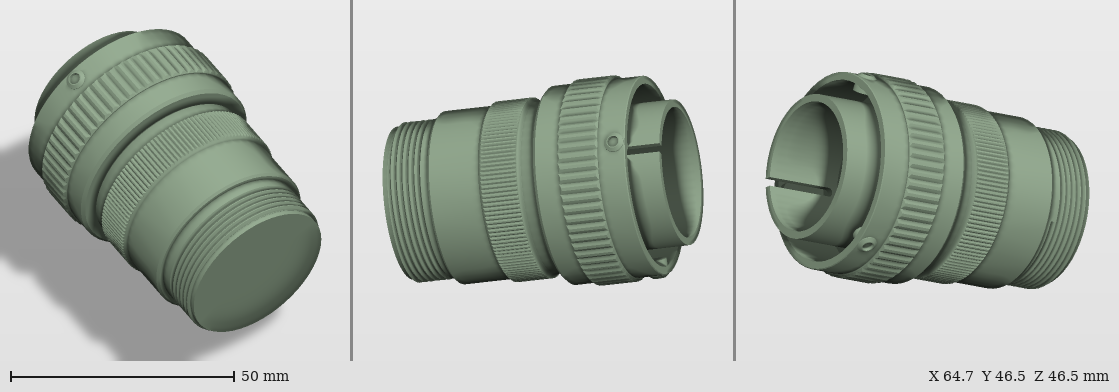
import cadquery as cq
import math

LENGTH = 64.65

NOSE_RADIUS = 16.4
NOSE_BORE_RADIUS = 14.75
NOSE_BORE_DEPTH = 18.1
KEYWAY_WIDTH = 2.0
KEYWAY_LENGTH = 16.8

RING_START = 6.3
RING_END = 28.0
RING_RADIUS = 22.45
RING_FRONT_CHAMFER = 0.2
RING_REAR_CHAMFER = 0.7
RING_BORE_RADIUS = 20.6
RING_BORE_DEPTH = 19.4
COLLAR_RADIUS = 18.2
COLLAR_START = 16.8

COARSE_START = 12.55
COARSE_END = 22.0
COARSE_RADIUS = 23.24
COARSE_TEETH = 60
COARSE_CREST = 0.65
COARSE_DEPTH = 0.5

SCREW_X = 8.8
SCREW_ANGLES = (0, 120, 240)
SCREW_RADIUS = 2.25
SCREW_TIP_RADIUS = 1.5
SCREW_INNER = 18.95
SCREW_SHOULDER = 22.55
SCREW_OUTER = 23.15
SOCKET_RADIUS = 1.3
SOCKET_DEPTH = 1.0

NECK_FRONT_RADIUS = 16.4
NECK_REAR_RADIUS = 17.05
BODY_START = 28.6
BODY_END = 53.6
BODY_RADIUS = 19.5
BODY_FRONT_CHAMFER = 0.5
BODY_REAR_CHAMFER = 0.5

FINE_START = 31.55
FINE_END = 41.6
FINE_RADIUS = 20.35
FINE_FILLET_RADIUS = 1.0
FINE_TEETH = 124
FINE_CREST = 0.3
FINE_DEPTH = 0.3

THREAD_RADIUS = 18.05
THREAD_DEPTH = 0.7
THREAD_START = 55.6
THREAD_END = 63.4
THREAD_PITCH = 1.385
THREAD_START_ANGLE = 26.0
THREAD_CREST = 0.2
THREAD_ROOT = 0.3
TIP_RADIUS = 17.25

CUTTER_MARGIN = 0.3
BOOLEAN_TOLERANCE = 0.001


def fine_fillet_point(angle):
    """Point (x, radius) on the concave fillet that leads up to the fine knurl."""
    x = FINE_START + FINE_FILLET_RADIUS * math.sin(angle)
    radius = BODY_RADIUS + FINE_FILLET_RADIUS * (1 - math.cos(angle))
    return x, radius


def turned_body():
    coarse_step_radius = COARSE_RADIUS - COARSE_DEPTH
    fine_rise = FINE_RADIUS - BODY_RADIUS
    fillet_end_angle = math.acos(1 - fine_rise / FINE_FILLET_RADIUS)
    fillet_middle = fine_fillet_point(fillet_end_angle / 2)
    fillet_end = fine_fillet_point(fillet_end_angle)
    before_fillet = [
        (NOSE_BORE_DEPTH, 0),
        (NOSE_BORE_DEPTH, NOSE_BORE_RADIUS),
        (0, NOSE_BORE_RADIUS),
        (0, NOSE_RADIUS),
        (COLLAR_START, NOSE_RADIUS),
        (COLLAR_START, COLLAR_RADIUS),
        (RING_BORE_DEPTH, COLLAR_RADIUS),
        (RING_BORE_DEPTH, RING_BORE_RADIUS),
        (RING_START, RING_BORE_RADIUS),
        (RING_START, RING_RADIUS - RING_FRONT_CHAMFER),
        (RING_START + RING_FRONT_CHAMFER, RING_RADIUS),
        (COARSE_START, RING_RADIUS),
        (COARSE_START, coarse_step_radius),
        (COARSE_START + COARSE_DEPTH, COARSE_RADIUS),
        (COARSE_END - COARSE_DEPTH, COARSE_RADIUS),
        (COARSE_END, coarse_step_radius),
        (COARSE_END, RING_RADIUS),
        (RING_END - RING_REAR_CHAMFER, RING_RADIUS),
        (RING_END, RING_RADIUS - RING_REAR_CHAMFER),
        (RING_END, NECK_FRONT_RADIUS),
        (BODY_START, NECK_REAR_RADIUS),
        (BODY_START, BODY_RADIUS - BODY_FRONT_CHAMFER),
        (BODY_START + BODY_FRONT_CHAMFER, BODY_RADIUS),
        (FINE_START, BODY_RADIUS),
    ]
    after_fillet = [
        fillet_end,
        (FINE_END - fine_rise, FINE_RADIUS),
        (FINE_END, BODY_RADIUS),
        (BODY_END - BODY_REAR_CHAMFER, BODY_RADIUS),
        (BODY_END, BODY_RADIUS - BODY_REAR_CHAMFER),
        (BODY_END, THREAD_RADIUS),
        (THREAD_END, THREAD_RADIUS),
        (THREAD_END, TIP_RADIUS),
        (LENGTH, TIP_RADIUS),
        (LENGTH, 0),
    ]
    outline = (
        cq.Workplane("XY")
        .polyline(before_fillet)
        .threePointArc(fillet_middle, fillet_end)
        .polyline(after_fillet)
        .close()
    )
    return outline.revolve(360, (0, 0, 0), (1, 0, 0))


def knurl_cutters(start, end, radius, teeth, crest, depth):
    """V grooves along X, spaced evenly so that one crest lies on +Z."""
    pitch_angle = 360 / teeth
    half_width = (2 * math.pi * radius / teeth - crest) / 2
    overshoot = half_width * (depth + CUTTER_MARGIN) / depth
    groove = (
        cq.Workplane("YZ", origin=(start, 0, 0))
        .moveTo(0, radius - depth)
        .lineTo(overshoot, radius + CUTTER_MARGIN)
        .lineTo(-overshoot, radius + CUTTER_MARGIN)
        .close()
        .extrude(end - start)
        .val()
    )
    grooves = [
        groove.rotate((0, 0, 0), (1, 0, 0), (tooth + 0.5) * pitch_angle)
        for tooth in range(teeth)
    ]
    return cq.Compound.makeCompound(grooves)


def keyway_cutter():
    """Slot through the nose wall on +Y, with a round closed end."""
    half_width = KEYWAY_WIDTH / 2
    round_start = KEYWAY_LENGTH - half_width
    return (
        cq.Workplane("XZ")
        .moveTo(0, half_width)
        .lineTo(round_start, half_width)
        .threePointArc((KEYWAY_LENGTH, 0), (round_start, -half_width))
        .lineTo(0, -half_width)
        .close()
        .extrude(-(NOSE_RADIUS + CUTTER_MARGIN))
    )


def bayonet_screw():
    """Screw pointing along +Y, with a conical head."""
    return (
        cq.Workplane("XY", origin=(SCREW_X, 0, 0))
        .moveTo(0, SCREW_INNER)
        .lineTo(SCREW_RADIUS, SCREW_INNER)
        .lineTo(SCREW_RADIUS, SCREW_SHOULDER)
        .lineTo(SCREW_TIP_RADIUS, SCREW_OUTER)
        .lineTo(0, SCREW_OUTER)
        .close()
        .revolve(360, (0, 0, 0), (0, 1, 0))
    )


def screw_socket():
    """Round blind hole in the head of the screw on +Y."""
    return (
        cq.Workplane("XZ", origin=(SCREW_X, SCREW_OUTER - SOCKET_DEPTH, 0))
        .circle(SOCKET_RADIUS)
        .extrude(-(SOCKET_DEPTH + CUTTER_MARGIN))
    )


def thread_cutter():
    """Right-hand helical groove that starts square on -Y and runs out over the tip."""
    root_radius = THREAD_RADIUS - THREAD_DEPTH
    root_half = THREAD_ROOT / 2
    open_half = (THREAD_PITCH - THREAD_CREST) / 2
    outer_radius = THREAD_RADIUS + CUTTER_MARGIN
    run = THREAD_END + THREAD_PITCH - THREAD_START
    helix = cq.Wire.makeHelix(THREAD_PITCH, run, root_radius)
    groove = (
        cq.Workplane("XZ")
        .polyline([
            (root_radius, -root_half),
            (THREAD_RADIUS, -open_half),
            (outer_radius, -open_half),
            (outer_radius, open_half),
            (THREAD_RADIUS, open_half),
            (root_radius, root_half),
        ])
        .close()
        .sweep(cq.Workplane(helix), isFrenet=True)
    )
    return (
        groove
        .rotate((0, 0, 0), (0, 1, 0), 90)
        .rotate((0, 0, 0), (1, 0, 0), THREAD_START_ANGLE - 90)
        .translate((THREAD_START, 0, 0))
    )


result = turned_body().cut(thread_cutter(), tol=BOOLEAN_TOLERANCE)
coarse_knurl = knurl_cutters(
    COARSE_START, COARSE_END, COARSE_RADIUS, COARSE_TEETH, COARSE_CREST, COARSE_DEPTH
)
fine_knurl = knurl_cutters(FINE_START, FINE_END, FINE_RADIUS, FINE_TEETH, FINE_CREST, FINE_DEPTH)
result = result.cut(cq.Workplane(coarse_knurl)).cut(cq.Workplane(fine_knurl))
result = result.cut(keyway_cutter())
for angle in SCREW_ANGLES:
    result = result.union(bayonet_screw().rotate((0, 0, 0), (1, 0, 0), angle))
    result = result.cut(screw_socket().rotate((0, 0, 0), (1, 0, 0), angle))